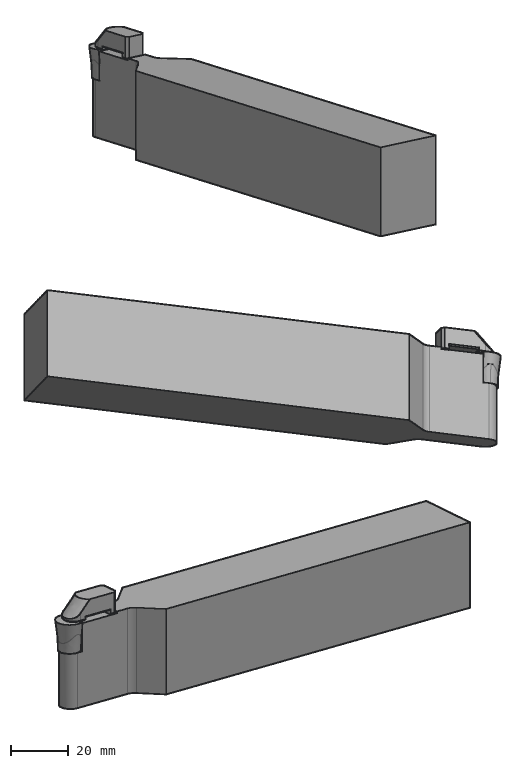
import cadquery as cq
import math

total_length = 170.0
shank_width = 25.0
shank_height = 32.0
blade_width = 8.0
taper_end_x = 37.5
taper_start_x = 28.9
taper_fillet = 4.0
blade_nose_center_x = 5.5

insert_diameter = 10.0
insert_back_x = 7.5
insert_height = 11.2
clearance_angle = 7.0
base_radius = 4.0
base_top_half_width = 4.8

recess_depth = 0.7
recess_end_x = 22.8

top_z = 39.5
clamp_nose_x = 2.7
clamp_back_x = 22.6
clamp_corner_chamfer = 1.0
clamp_bottom_chamfer = 0.5
clamp_pad_end_x = 9.0
clamp_foot_start_x = 20.0
clamp_gap_top_z = 33.0
clamp_top_front_x = 8.7
slope_angle = 46.0
slope_bulge = 2.2

insert_radius = insert_diameter / 2
insert_center_x = insert_radius
blade_half = blade_width / 2
shank_half = shank_width / 2
seat_z = shank_height - insert_height
recess_z = shank_height - recess_depth


def box(x0, x1, width, z0, z1):
    """Block between two X and two Z positions, centred on Y = 0."""
    size = (x1 - x0, width, z1 - z0)
    return cq.Workplane("XY").box(*size, centered=(False, True, False)).translate((x0, 0, z0))


def make_shank():
    """Square shank that tapers to a thin blade with a round front."""
    outline = (
        cq.Workplane("XY")
        .moveTo(total_length, -shank_half)
        .lineTo(total_length, shank_half)
        .lineTo(taper_end_x, shank_half)
        .lineTo(taper_start_x, blade_half)
        .lineTo(blade_nose_center_x, blade_half)
        .threePointArc((blade_nose_center_x - blade_half, 0), (blade_nose_center_x, -blade_half))
        .lineTo(taper_start_x, -blade_half)
        .lineTo(taper_end_x, -shank_half)
        .close()
    )
    taper_corners = cq.selectors.BoxSelector(
        (blade_nose_center_x + taper_fillet, -shank_half, 0),
        (taper_end_x - taper_fillet, shank_half, shank_height),
    )
    shank = outline.extrude(shank_height).edges("|Z").edges(taper_corners).fillet(taper_fillet)
    insert_seat = box(0, insert_back_x, shank_width, seat_z, shank_height)
    recess = box(insert_back_x, recess_end_x, blade_width, recess_z, shank_height)
    return shank.cut(insert_seat).cut(recess)


def make_slope_envelope():
    """Bow-fronted block leaning back at the slope angle, which shapes the clamp front."""
    height = top_z - recess_z
    run = height / math.tan(math.radians(slope_angle))
    face_side_x = clamp_top_front_x + slope_bulge
    rear_x = clamp_back_x + run
    top_outline = (
        cq.Workplane("XY", origin=(0, 0, top_z))
        .moveTo(rear_x, -blade_half)
        .lineTo(face_side_x, -blade_half)
        .threePointArc((clamp_top_front_x, 0), (face_side_x, blade_half))
        .lineTo(rear_x, blade_half)
        .close()
    )
    leaning = cq.Solid.extrudeLinear(top_outline.val(), [], cq.Vector(-run, 0, -height))
    return cq.Workplane(obj=leaning)


def make_clamp():
    """Finger that rests on the insert with its nose and on the blade with its foot."""
    nose_center_x = clamp_nose_x + blade_half
    clamp = (
        cq.Workplane("XY", origin=(0, 0, recess_z))
        .moveTo(clamp_back_x, -blade_half)
        .lineTo(clamp_back_x, blade_half)
        .lineTo(nose_center_x, blade_half)
        .threePointArc((clamp_nose_x, 0), (nose_center_x, -blade_half))
        .close()
        .extrude(top_z - recess_z)
    )
    clamp = clamp.edges("|Z and >X").chamfer(clamp_corner_chamfer)
    under_pad = box(0, clamp_pad_end_x, blade_width, recess_z, shank_height)
    gap = box(clamp_pad_end_x, clamp_foot_start_x, blade_width, recess_z, clamp_gap_top_z)
    clamp = clamp.intersect(make_slope_envelope()).cut(under_pad).cut(gap)
    return clamp.faces("-Z").edges("(not |Y) or >X").chamfer(clamp_bottom_chamfer)


def make_insert():
    """Round insert: clearance cone over a base with an upright nose, cut flat at the back."""
    bottom_radius = insert_radius - insert_height * math.tan(math.radians(clearance_angle))
    cone = cq.Solid.makeCone(
        bottom_radius, insert_radius, insert_height, cq.Vector(insert_center_x, 0, seat_z)
    )
    bottom_plane = cq.Plane(origin=(insert_center_x, 0, seat_z), xDir=(0, 1, 0), normal=(0, 0, 1))
    base = (
        cq.Workplane(bottom_plane)
        .ellipse(base_radius, base_radius)
        .workplane(offset=insert_height)
        .ellipse(base_top_half_width, base_radius)
        .loft(ruled=True)
    )
    front_part = box(0, insert_back_x, shank_width, seat_z, shank_height)
    return cq.Workplane(obj=cone).union(base).intersect(front_part)


holder = make_shank().union(make_clamp())
insert = make_insert()

result = cq.Compound.makeCompound([holder.val(), insert.val()])